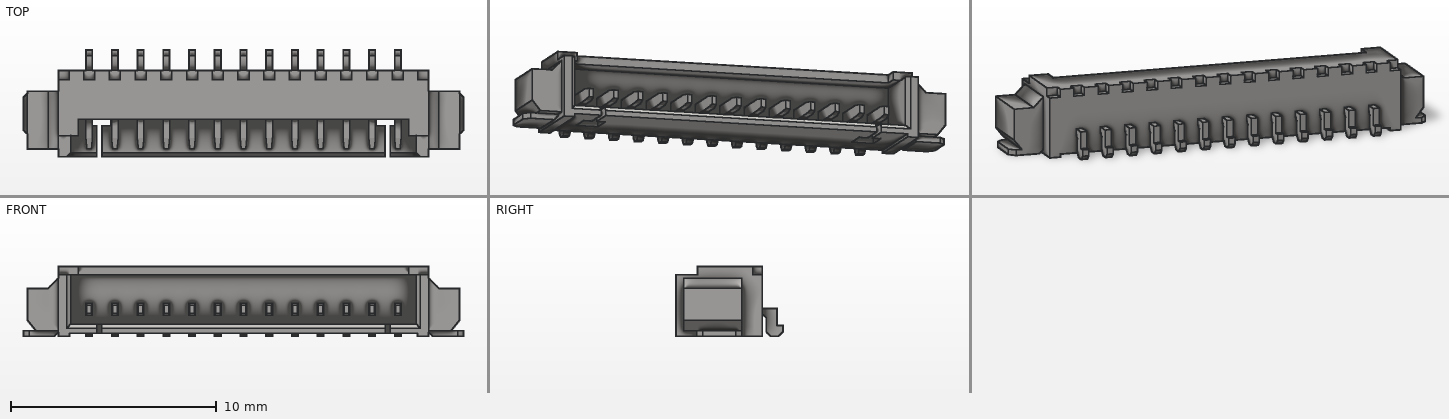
import cadquery as cq

BODY_LENGTH = 18.0
BODY_DEPTH = 4.2
BODY_HEIGHT = 3.4
HALF_LENGTH = BODY_LENGTH / 2

END_WALL = 0.6
BACK_WALL = 1.15
ROOF_THICKNESS = 0.4
ROOF_UNDERSIDE = BODY_HEIGHT - ROOF_THICKNESS
FLOOR_TOP = 0.6
FLOOR_BOTTOM = 0.15
FOOT_WIDTH = 0.55
MOUTH_BEVEL_WIDTH = 0.2
MOUTH_BEVEL_DEPTH = 0.2
CAVITY_BACK = BODY_DEPTH - BACK_WALL

ROOF_ARM_FRONT = 1.04
ROOF_ARM_WIDTH = 0.97
ROOF_OPENING_BACK = 1.82
REAR_NOTCH_WIDTH = 0.54
REAR_NOTCH_DEPTH = 0.46

SLOT_OFFSET = 7.0
SLOT_WIDTH = 0.24
WINDOW_WIDTH = 1.1
WINDOW_FRONT = 1.52
WINDOW_BACK = 2.75

PIN_COUNT = 13
PIN_PITCH = 1.25
PIN_WIDTH = 0.32
PIN_BOTTOM = 1.04
PIN_TOP = 1.61
PIN_TIP_FRONT = 0.4
PIN_TIP_LENGTH = 0.52
PIN_TIP_WIDTH = 0.22
PIN_TIP_HEIGHT = 0.4

TAIL_TOP = 1.36
TAIL_THICKNESS = 0.31
TAIL_REACH = 0.71
TAIL_INNER_GAP = 0.18
TAIL_TOE_REACH = 1.0
TAIL_TOE_HEIGHT = 0.53
TAIL_FOOT_CHAMFER = 0.22
TAIL_BEND_CHAMFER = 0.14

WING_REACH = 1.5
WING_FRONT = 0.38
WING_BACK = 3.2
WING_BOTTOM = 0.28
WING_TOP = 2.33
WING_RAMP = 0.5
WING_CHAMFER_WIDTH = 0.4
WING_CHAMFER_HEIGHT = 0.5

TAB_REACH = 1.7
TAB_FRONT = 1.0
TAB_BACK = WING_BACK
TAB_CORNER = 0.3
TAB_BEND = 0.2


def box(x_range, y_range, z_range):
    """Axis-aligned block between the given limits."""
    size = [end - start for start, end in (x_range, y_range, z_range)]
    corner = (x_range[0], y_range[0], z_range[0])
    return cq.Workplane("XY").box(*size, centered=False).translate(corner)


def centred_range(centre, width):
    return (centre - width / 2, centre + width / 2)


def prism_along_x(outline, x_centre, width):
    """Extrude a closed (y, z) outline along X."""
    return (
        cq.Workplane("YZ").polyline(outline).close().extrude(width)
        .translate((x_centre - width / 2, 0, 0))
    )


def prism_along_y(outline, y_front, y_back):
    """Extrude a closed (x, z) outline from y_front to y_back."""
    return (
        cq.Workplane("XZ").polyline(outline).close().extrude(y_front - y_back)
        .translate((0, y_front, 0))
    )


def pin_positions():
    first = -(PIN_COUNT - 1) * PIN_PITCH / 2
    return [first + index * PIN_PITCH for index in range(PIN_COUNT)]


def cavity():
    """Mating cavity, open to the front, bevelled at the floor and end walls of its mouth."""
    half_width = HALF_LENGTH - END_WALL
    half_mouth = half_width + MOUTH_BEVEL_WIDTH
    mouth_floor = FLOOR_TOP - MOUTH_BEVEL_DEPTH
    mouth = (
        cq.Workplane("XZ")
        .polyline([(-half_mouth, mouth_floor), (half_mouth, mouth_floor),
                   (half_mouth, ROOF_UNDERSIDE), (-half_mouth, ROOF_UNDERSIDE)]).close()
        .workplane(offset=-MOUTH_BEVEL_DEPTH)
        .polyline([(-half_width, FLOOR_TOP), (half_width, FLOOR_TOP),
                   (half_width, ROOF_UNDERSIDE), (-half_width, ROOF_UNDERSIDE)]).close()
        .loft(ruled=True)
    )
    room = box((-half_width, half_width), (0, CAVITY_BACK), (FLOOR_TOP, ROOF_UNDERSIDE))
    return room.union(mouth)


def housing():
    full_width = (-HALF_LENGTH, HALF_LENGTH)
    roof_heights = (ROOF_UNDERSIDE, BODY_HEIGHT)
    body = box(full_width, (0, BODY_DEPTH), (0, BODY_HEIGHT)).cut(cavity())

    body = body.cut(box(full_width, (0, ROOF_ARM_FRONT), roof_heights))
    half_opening = HALF_LENGTH - ROOF_ARM_WIDTH
    body = body.cut(box((-half_opening, half_opening), (0, ROOF_OPENING_BACK), roof_heights))

    rear_notch_depths = (BODY_DEPTH - REAR_NOTCH_DEPTH, BODY_DEPTH)
    corner_notch = HALF_LENGTH - REAR_NOTCH_WIDTH / 2
    for x in pin_positions() + [-corner_notch, corner_notch]:
        body = body.cut(box(centred_range(x, REAR_NOTCH_WIDTH), rear_notch_depths, roof_heights))

    half_relief = HALF_LENGTH - FOOT_WIDTH
    body = body.cut(box((-half_relief, half_relief), (0, BODY_DEPTH), (0, FLOOR_BOTTOM)))

    for x in (-SLOT_OFFSET, SLOT_OFFSET):
        body = body.cut(box(centred_range(x, SLOT_WIDTH), (0, WINDOW_FRONT), (0, FLOOR_TOP)))
        body = body.cut(box(centred_range(x, WINDOW_WIDTH), (WINDOW_FRONT, WINDOW_BACK), (0, FLOOR_TOP)))
    return body


def contact(x):
    """One contact: tapered pin in the cavity, shank through the back wall, bent tail."""
    taper_back = PIN_TIP_FRONT + PIN_TIP_LENGTH
    middle = (PIN_BOTTOM + PIN_TOP) / 2
    tip = (
        cq.Workplane("XZ", origin=(x, PIN_TIP_FRONT, middle))
        .rect(PIN_TIP_WIDTH, PIN_TIP_HEIGHT)
        .workplane(offset=-PIN_TIP_LENGTH)
        .rect(PIN_WIDTH, PIN_TOP - PIN_BOTTOM)
        .loft(ruled=True)
    )
    shank_back = BODY_DEPTH - BACK_WALL / 2
    shank = box(centred_range(x, PIN_WIDTH), (taper_back, shank_back), (PIN_BOTTOM, PIN_TOP))

    tail_underside = TAIL_TOP - TAIL_THICKNESS
    inner = BODY_DEPTH + TAIL_INNER_GAP
    outer = BODY_DEPTH + TAIL_REACH
    toe = BODY_DEPTH + TAIL_TOE_REACH
    tail = prism_along_x(
        [
            (shank_back, TAIL_TOP),
            (outer, TAIL_TOP),
            (outer, TAIL_TOE_HEIGHT),
            (toe, TAIL_TOE_HEIGHT),
            (toe, TAIL_FOOT_CHAMFER),
            (toe - TAIL_FOOT_CHAMFER, 0),
            (inner + TAIL_FOOT_CHAMFER, 0),
            (inner, TAIL_FOOT_CHAMFER),
            (inner, tail_underside - TAIL_BEND_CHAMFER),
            (inner - TAIL_BEND_CHAMFER, tail_underside),
            (shank_back, tail_underside),
        ],
        x,
        PIN_WIDTH,
    )
    return tip.union(shank).union(tail)


def left_wing():
    """Wing on the -X end with its mounting tab underneath."""
    outer = -HALF_LENGTH - WING_REACH
    wing = prism_along_y(
        [
            (-HALF_LENGTH, WING_BOTTOM),
            (outer + WING_CHAMFER_WIDTH, WING_BOTTOM),
            (outer, WING_BOTTOM + WING_CHAMFER_HEIGHT),
            (outer, WING_TOP),
            (-HALF_LENGTH - WING_RAMP, WING_TOP),
            (-HALF_LENGTH, WING_TOP + WING_RAMP),
        ],
        WING_FRONT,
        WING_BACK,
    )
    tab_x = (-HALF_LENGTH - TAB_REACH, -HALF_LENGTH)
    tab = box(tab_x, (TAB_FRONT, TAB_BACK), (0, WING_BOTTOM))
    tab = tab.edges("|Z and <X").chamfer(TAB_CORNER)
    tab = tab.edges("|Y and >X and <Z").chamfer(TAB_BEND)
    return wing.union(tab)


result = housing()
for pin_x in pin_positions():
    result = result.union(contact(pin_x))
wing_with_tab = left_wing()
result = result.union(wing_with_tab).union(wing_with_tab.mirror("YZ"))